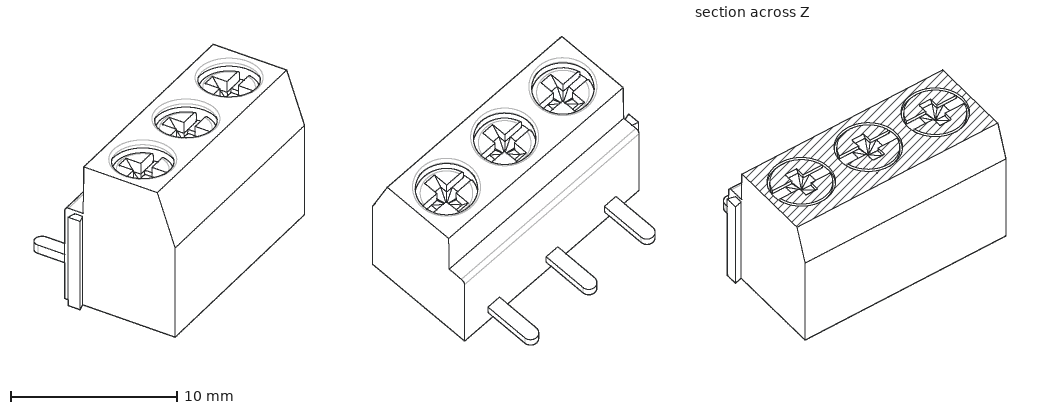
import cadquery as cq
import math

poles = 3
pitch = 5.0
body_length = poles * pitch
body_depth = 7.8
body_height = 10.2
ledge_height = 6.75
ledge_width = 1.3
wall_draft = 0.05
ledge_round = 0.28
top_edge_x = 6.54
slope_bottom_z = 6.58

rib_x = 1.0
rib_root_width = 0.56
rib_tip_width = 0.84
overall_length = 15.53
rib_projection = overall_length - body_length
rib_height = 6.52

pin_length = 3.6
pin_width = 1.0
pin_thickness = 0.62
pin_bottom_z = 0.98

well_x = 3.99
rim_diameter = 4.1
rim_round = 0.17
rim_undercut_angle = 24
well_radius = rim_diameter / 2
head_depth = 0.68
head_z = body_height - head_depth
head_radius = 1.91
head_round = 0.33

slot_width = 0.79
cross_width = 0.84
slot_depth = 0.79
cross_top_reach = 1.43
cross_floor_reach = 0.9
pit_depth = 0.47
slot_floor_z = head_z - slot_depth

pole_centers = [(i + 0.5) * pitch for i in range(poles)]


def make_housing():
    profile = (
        cq.Workplane("XZ")
        .moveTo(0, 0)
        .lineTo(body_depth, 0)
        .lineTo(body_depth, slope_bottom_z)
        .lineTo(top_edge_x, body_height)
        .lineTo(ledge_width + wall_draft, body_height)
        .lineTo(ledge_width, ledge_height)
        .lineTo(ledge_round, ledge_height)
        .radiusArc((0, ledge_height - ledge_round), -ledge_round)
        .close()
    )
    return profile.extrude(-body_length)


def make_rib():
    root = rib_root_width / 2
    tip = rib_tip_width / 2
    outline = [
        (rib_x - root, 0),
        (rib_x - tip, -rib_projection),
        (rib_x + tip, -rib_projection),
        (rib_x + root, 0),
    ]
    return cq.Workplane("XY").polyline(outline).close().extrude(rib_height)


def make_pin(y):
    """Flat pin with a full-round tip, rooted on the -X wall."""
    half = pin_width / 2
    return (
        cq.Workplane("XY", origin=(0, y, pin_bottom_z))
        .moveTo(0, -half)
        .lineTo(0, half)
        .lineTo(half - pin_length, half)
        .threePointArc((-pin_length, 0), (half - pin_length, -half))
        .close()
        .extrude(pin_thickness)
    )


def make_well(y):
    """Well with a bulging rim and a flared wall, leaving a rounded screw head inside a clearance ring."""
    flat_radius = head_radius - head_round
    undercut = math.radians(rim_undercut_angle)
    rim_center_z = body_height - rim_round
    bead_end_radius = well_radius - rim_round * math.cos(undercut)
    bead_end_z = rim_center_z - rim_round * math.sin(undercut)
    flare_bottom_z = bead_end_z - (well_radius - bead_end_radius) / math.tan(undercut)
    return (
        cq.Workplane("YZ")
        .moveTo(0, head_z)
        .lineTo(flat_radius, head_z)
        .radiusArc((head_radius, head_z - head_round), head_round)
        .lineTo(head_radius, slot_floor_z)
        .lineTo(well_radius, slot_floor_z)
        .lineTo(well_radius, flare_bottom_z)
        .lineTo(bead_end_radius, bead_end_z)
        .threePointArc((well_radius - rim_round, rim_center_z), (well_radius, body_height))
        .lineTo(0, body_height)
        .close()
        .revolve(360, (0, 0, 0), (0, 1, 0))
        .translate((well_x, y, 0))
    )


def make_slot(y):
    """Flat-bottomed slot along Y, running across the whole head into the clearance ring."""
    length = head_radius + well_radius
    return (
        cq.Workplane("XY", origin=(well_x, y, slot_floor_z))
        .rect(slot_width, length)
        .extrude(slot_depth)
    )


def make_cross_slot(y):
    """Slot along X whose end walls lean inward toward the floor."""
    outline = [
        (-cross_top_reach, head_z),
        (cross_top_reach, head_z),
        (cross_floor_reach, slot_floor_z),
        (-cross_floor_reach, slot_floor_z),
    ]
    return (
        cq.Workplane("XZ")
        .polyline(outline)
        .close()
        .extrude(cross_width / 2, both=True)
        .translate((well_x, y, 0))
    )


def make_pit(y):
    """Pyramid under the slots: a cross-shaped base narrowing down to one point."""
    half_slot = slot_width / 2
    half_cross = cross_width / 2
    reach = cross_floor_reach
    base = [
        (reach, -half_cross),
        (reach, half_cross),
        (half_slot, half_cross),
        (half_slot, reach),
        (-half_slot, reach),
        (-half_slot, half_cross),
        (-reach, half_cross),
        (-reach, -half_cross),
        (-half_slot, -half_cross),
        (-half_slot, -reach),
        (half_slot, -reach),
        (half_slot, -half_cross),
    ]
    rim = [cq.Vector(well_x + px, y + py, slot_floor_z) for px, py in base]
    apex = cq.Vector(well_x, y, slot_floor_z - pit_depth)
    faces = [cq.Face.makeFromWires(cq.Wire.makePolygon(rim, close=True))]
    for start, end in zip(rim, rim[1:] + rim[:1]):
        faces.append(cq.Face.makeFromWires(cq.Wire.makePolygon([start, end, apex], close=True)))
    return cq.Workplane(cq.Solid.makeSolid(cq.Shell.makeShell(faces)))


result = make_housing().union(make_rib())
for pole_y in pole_centers:
    result = result.union(make_pin(pole_y))
    for make_cutter in (make_well, make_slot, make_cross_slot, make_pit):
        result = result.cut(make_cutter(pole_y))